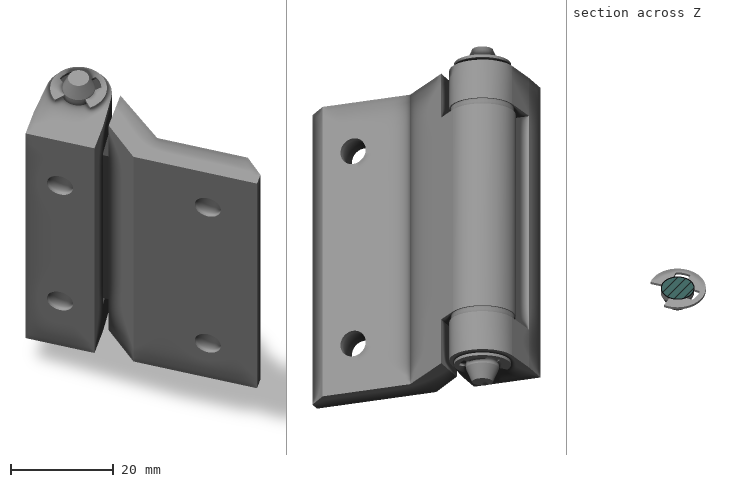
import cadquery as cq
import math


leaf_height = 60.2
hinge_width = 47.0
pin_length = 69.0

axis_x = 7.0
knuckle_radius = 6.5
axis_y = 2 * knuckle_radius
knuckle_bottom = axis_y - knuckle_radius
ear_height = 7.9
washer_radius = 12.4 / 2
washer_thickness = 1.2
barrel_gap = leaf_height - 2 * ear_height
knuckle_height = barrel_gap - 2 * washer_thickness

fixed_width = 2 * axis_x
plate_thickness = 6.0
screw_diameter = 5.3
flank_top_rise = 0.75
fixed_hole_spacing = 34.0

crank_start_x = 15.0
crank_lower_x = 21.9
crank_upper_x = 25.0
edge_chamfer = 3.6
swing_hole_x = 37.0
swing_hole_spacing = 40.0

pin_radius = 6.5 / 2
pin_tip_radius = 4.1 / 2
pin_taper_length = 2.8

clip_radius = 5.55
clip_thickness = 0.55
top_clip_gap = 0.9
bottom_clip_gap = 0.35
clip_mouth_half_angle = 40.0
clip_window_radius = 4.45
clip_window_width = 2.87
clip_window_angle = 45.0
clip_window_offset = 0.56


def axial_cylinder(radius, height, bottom_z):
    """Cylinder on the pin axis."""
    return cq.Workplane("XY", origin=(axis_x, axis_y, bottom_z)).circle(radius).extrude(height)


def point_on_knuckle(angle):
    """Point of the knuckle circle at an angle in radians from +X."""
    return (axis_x + knuckle_radius * math.cos(angle), axis_y + knuckle_radius * math.sin(angle))


def tangent_angle(x, y):
    """Angle of the upper right point where a line from (x, y) touches the knuckle circle."""
    dx = x - axis_x
    dy = y - axis_y
    return math.atan2(dy, dx) + math.acos(knuckle_radius / math.hypot(dx, dy))


def cut_screw_holes(leaf, x, spacing):
    """Cut a pair of screw holes through the plate of a leaf, along Y."""
    for z in (-spacing / 2, spacing / 2):
        hole = (
            cq.Workplane("XZ", origin=(x, 0, z))
            .circle(screw_diameter / 2)
            .extrude(-plate_thickness)
        )
        leaf = leaf.cut(hole)
    return leaf


def make_fixed_leaf():
    """Plate with two round-topped ears; their flanks meet the knuckle circle just above the pin axis."""
    right_angle = math.asin(flank_top_rise / knuckle_radius)
    leaf = (
        cq.Workplane("XY", origin=(0, 0, -leaf_height / 2))
        .lineTo(fixed_width, 0)
        .lineTo(fixed_width, plate_thickness)
        .lineTo(*point_on_knuckle(right_angle))
        .threePointArc(point_on_knuckle(math.pi / 2), point_on_knuckle(math.pi - right_angle))
        .lineTo(0, plate_thickness)
        .close()
        .extrude(leaf_height)
    )
    gap_depth = axis_y + knuckle_radius - plate_thickness
    gap = cq.Workplane("XY").box(fixed_width, gap_depth, barrel_gap, centered=(False, False, True))
    leaf = leaf.cut(gap.translate((0, plate_thickness, 0)))
    return cut_screw_holes(leaf, axis_x, fixed_hole_spacing)


def make_swinging_leaf():
    """Knuckle, full-height cranked plate and the web that joins them."""
    upper_angle = tangent_angle(crank_upper_x, plate_thickness)
    tangent_x, tangent_y = point_on_knuckle(upper_angle)
    crank_slope = (plate_thickness - tangent_y) / (crank_upper_x - tangent_x)
    crank_start_y = tangent_y + crank_slope * (crank_start_x - tangent_x)

    plate = (
        cq.Workplane("XY", origin=(0, 0, -leaf_height / 2))
        .moveTo(crank_start_x, knuckle_bottom)
        .lineTo(crank_lower_x, 0)
        .lineTo(hinge_width, 0)
        .lineTo(hinge_width, plate_thickness - edge_chamfer)
        .lineTo(hinge_width - edge_chamfer, plate_thickness)
        .lineTo(crank_upper_x, plate_thickness)
        .lineTo(crank_start_x, crank_start_y)
        .close()
        .extrude(leaf_height)
    )
    knuckle = (
        cq.Workplane("XY", origin=(0, 0, -knuckle_height / 2))
        .moveTo(axis_x, knuckle_bottom)
        .lineTo(crank_start_x, knuckle_bottom)
        .lineTo(crank_start_x, crank_start_y)
        .lineTo(tangent_x, tangent_y)
        .threePointArc(point_on_knuckle(math.pi), (axis_x, knuckle_bottom))
        .close()
        .extrude(knuckle_height)
    )
    plate = cut_screw_holes(plate, swing_hole_x, swing_hole_spacing)
    return plate.union(knuckle)


def make_pin():
    """Pin with a tapered tip at both ends, revolved about its axis."""
    tip_z = pin_length / 2
    shoulder_z = tip_z - pin_taper_length
    return (
        cq.Workplane("XZ", origin=(axis_x, axis_y, 0))
        .moveTo(0, -tip_z)
        .lineTo(pin_tip_radius, -tip_z)
        .lineTo(pin_radius, -shoulder_z)
        .lineTo(pin_radius, shoulder_z)
        .lineTo(pin_tip_radius, tip_z)
        .lineTo(0, tip_z)
        .close()
        .revolve(360, (0, 0, 0), (0, 1, 0))
    )


def make_clip(bottom_z):
    """E-shaped retaining clip with its mouth facing -Y and two windows beside the pin."""
    clip = axial_cylinder(clip_radius, clip_thickness, bottom_z)
    base = cq.Workplane("XY", origin=(axis_x, axis_y, bottom_z))

    mouth_depth = 2 * clip_radius
    mouth_half_width = mouth_depth * math.tan(math.radians(clip_mouth_half_angle))
    mouth = (
        base.lineTo(-mouth_half_width, -mouth_depth)
        .lineTo(mouth_half_width, -mouth_depth)
        .close()
        .extrude(clip_thickness)
    )
    clip = clip.cut(mouth)

    window_disc = axial_cylinder(clip_window_radius, clip_thickness, bottom_z)
    axis_start = (axis_x, axis_y, bottom_z)
    axis_end = (axis_x, axis_y, bottom_z + clip_thickness)
    for side in (-1, 1):
        slot = (
            base.center(clip_window_radius / 2, side * -clip_window_offset)
            .rect(clip_window_radius, clip_window_width)
            .extrude(clip_thickness)
            .rotate(axis_start, axis_end, 90 - side * clip_window_angle)
        )
        clip = clip.cut(slot.intersect(window_disc))
    return clip


result = make_fixed_leaf().union(make_swinging_leaf())
for washer_bottom in (-barrel_gap / 2, knuckle_height / 2):
    result = result.union(axial_cylinder(washer_radius, washer_thickness, washer_bottom))

top_clip_z = leaf_height / 2 + top_clip_gap
bottom_clip_z = -leaf_height / 2 - bottom_clip_gap - clip_thickness
clips = make_clip(top_clip_z).union(make_clip(bottom_clip_z))
result = result.union(clips).union(make_pin())